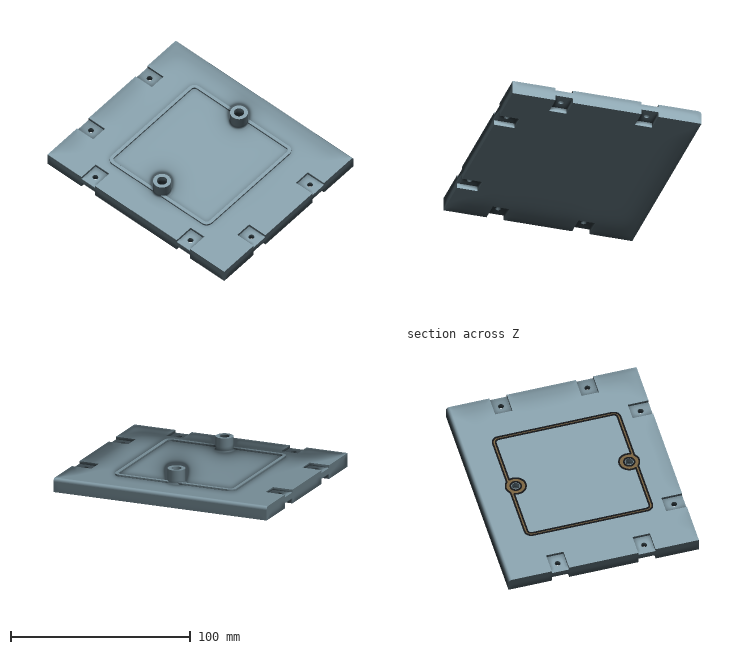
import cadquery as cq
import math

plate_length = 130.0
plate_width = 110.0
total_height = 16.0
boss_height = total_height / 2
plate_thickness = total_height - boss_height
rear_edge_radius = 2.0

rim_size = 74.0
rim_wall = 2.0
rim_height = 1.0
rim_corner_radius = 4.0

boss_diameter = 10.0
boss_spacing = 65.5
boss_foot_radius = 1.0
bore_diameter = 5.7
bore_depth = boss_height
pilot_diameter = 4.4
pilot_depth = bore_depth + plate_thickness / 2

tab_width = 10.0
tab_reach = 12.0
tab_top_depth = 1.5
tab_bottom_depth = 3.0
tab_hole_diameter = 3.2
tab_inset = 30.0
side_tab_spacing = 49.9

center_x = plate_length / 2
center_y = plate_width / 2


def make_plate():
    plate = cq.Workplane("XY").box(plate_length, plate_width, plate_thickness, centered=False)
    return plate.edges(">Y and >Z").fillet(rear_edge_radius)


def make_rim_block(size, corner_radius):
    """Rounded square block of rim height, centred on top of the plate."""
    block = cq.Workplane("XY", origin=(center_x, center_y, plate_thickness)).rect(size, size)
    return block.extrude(rim_height).edges("|Z").fillet(corner_radius)


def make_rim():
    outer = make_rim_block(rim_size, rim_corner_radius)
    inner = make_rim_block(rim_size - 2 * rim_wall, rim_corner_radius - rim_wall)
    return outer.cut(inner)


def make_boss(y):
    """Boss whose side flares out into the plate through a concave fillet."""
    side = boss_diameter / 2
    foot = side + boss_foot_radius
    arc_offset = boss_foot_radius * math.sqrt(0.5)
    arc_middle = (foot - arc_offset, boss_foot_radius - arc_offset)
    profile = (
        cq.Workplane("YZ", origin=(center_x, y, plate_thickness))
        .lineTo(foot, 0)
        .threePointArc(arc_middle, (side, boss_foot_radius))
        .lineTo(side, boss_height)
        .lineTo(0, boss_height)
        .close()
    )
    return profile.revolve(360, (0, 0, 0), (0, 1, 0))


def make_bore(y):
    """Wide bore with a narrower pilot hole that ends inside the plate."""
    boss_top = cq.Workplane("XY", origin=(center_x, y, total_height))
    bore = boss_top.circle(bore_diameter / 2).extrude(-bore_depth)
    pilot = boss_top.circle(pilot_diameter / 2).extrude(-pilot_depth)
    return bore.union(pilot)


def make_recess(bottom_z, depth):
    """Rectangular tab recess reaching from the YZ plane towards +X."""
    base = cq.Workplane("XY", origin=(0, 0, bottom_z))
    return base.box(tab_reach, tab_width, depth, centered=(False, True, False))


def make_tab_cut(x, y, inward_angle):
    """Recesses and hole of the tab at edge point (x, y); the angle points into the plate."""
    top_recess = make_recess(plate_thickness - tab_top_depth, tab_top_depth)
    bottom_recess = make_recess(0, tab_bottom_depth)
    hole = cq.Workplane("XY").center(tab_reach / 2, 0).circle(tab_hole_diameter / 2).extrude(plate_thickness)
    cut = top_recess.union(bottom_recess).union(hole)
    return cut.rotate((0, 0, 0), (0, 0, 1), inward_angle).translate((x, y, 0))


result = make_plate().union(make_rim())

for boss_y in (center_y - boss_spacing / 2, center_y + boss_spacing / 2):
    result = result.union(make_boss(boss_y)).cut(make_bore(boss_y))

for tab_y in (tab_inset, tab_inset + side_tab_spacing):
    result = result.cut(make_tab_cut(0, tab_y, 0))
    result = result.cut(make_tab_cut(plate_length, tab_y, 180))

for tab_x in (tab_inset, plate_length - tab_inset):
    result = result.cut(make_tab_cut(tab_x, 0, 90))